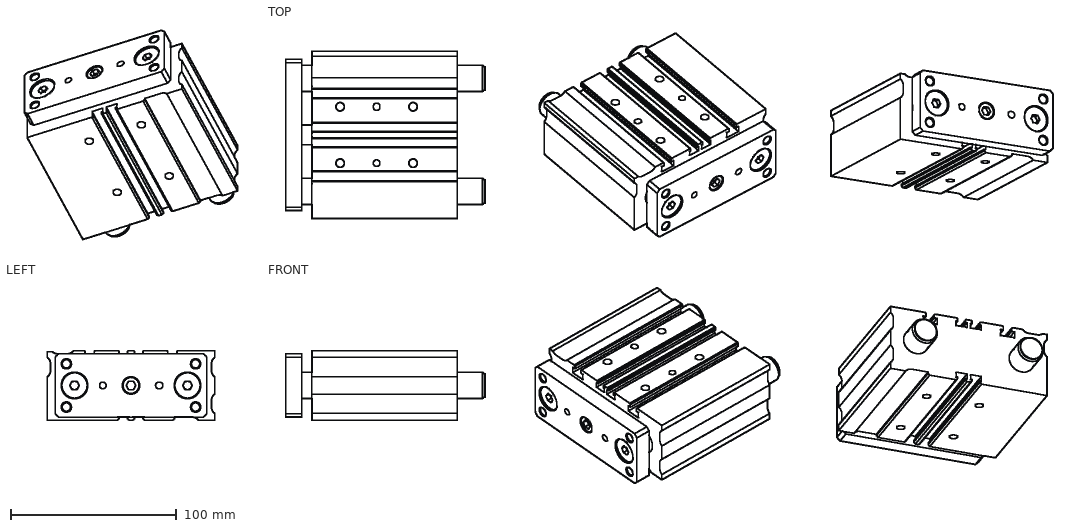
import cadquery as cq
import math


overall_length = 120.5
plate_thickness = 9.9
housing_start = 15.9
housing_end = 103.6
piston_rod_end = 72.3

housing_length = housing_end - housing_start
housing_width = 101.0
housing_height = 42.0
half_width = housing_width / 2
half_height = housing_height / 2

plate_width = 91.3
plate_height = 38.3
plate_corner_chamfer = 2.0
corner_hole_diameter = 5.1
corner_hole_chamfer = 0.54
corner_hole_spacing_y = 77.8
corner_hole_spacing_z = 26.0

guide_diameter = 16.0
guide_spacing = 68.1
guide_offset = guide_spacing / 2
guide_front_recess = 1.0
guide_tip_diameter = 14.1
guide_tip_length = 0.7
guide_taper_length = 1.2

piston_rod_diameter = 12
bolt_diameter = 10.5
bolt_front_recess = 0.5

front_chamfer = 0.42
hex_across_flats = 5.1
hex_depth = 3.0
drill_point_angle = 118

pin_diameter = 4.0
pin_slot_length = 4.5
housing_pin_depth = 6

hole_row_offset = 17.0
through_hole_diameter = 5.0
through_hole_positions = (32.9, 76.9)
housing_pin_x = sum(through_hole_positions) / 2

groove_radius = 4.8
groove_depth = 1.9
groove_arc_width = math.sqrt(groove_radius**2 - (groove_radius - groove_depth) ** 2)
side_groove_bottom = 5.2
side_groove_top = 16.9
top_groove_inner = 34.6
top_groove_outer = 48.0
top_edge_step = 0.6
bottom_recess_inner = 26.3
bottom_recess_outer = 40.6

outer_slot_centre = 25.0
outer_slot_mouth = 5.3
outer_slot_inside = 9.0
outer_slot_lip = 2.7
outer_slot_depth = 6.6
inner_slot_centre = 4.64
inner_slot_mouth = 5.0
inner_slot_inside = 7.0
inner_slot_lip = 2.0
inner_slot_depth = 5.2
top_chamfer = 0.6
bottom_chamfer = 1.1


def cylinder(diameter, start, end, y=0, z=0):
    """Cylinder along X between two X positions."""
    return cq.Workplane("YZ", origin=(start, y, z)).circle(diameter / 2).extrude(end - start)




def housing_sketch():
    return cq.Workplane("YZ", origin=(housing_start, 0, 0))


def to_top(cut):
    return cut.translate((0, 0, half_height))


def to_bottom(cut):
    return to_top(cut).mirror("XY")


def t_slot(centre, mouth_width, inside_width, lip, depth, chamfer):
    """T-slot with a chamfered mouth."""
    mouth = mouth_width / 2
    inside = inside_width / 2
    right_half = [
        (centre + mouth + chamfer, 0),
        (centre + mouth, -chamfer),
        (centre + mouth, -lip),
        (centre + inside, -lip),
        (centre + inside, -depth),
    ]
    left_half = [(2 * centre - y, z) for y, z in reversed(right_half)]
    return housing_sketch().polyline(right_half + left_half).close().extrude(housing_length)


def outer_t_slot():
    return t_slot(
        outer_slot_centre, outer_slot_mouth, outer_slot_inside,
        outer_slot_lip, outer_slot_depth, top_chamfer,
    )


def inner_t_slot(chamfer):
    return t_slot(
        inner_slot_centre, inner_slot_mouth, inner_slot_inside,
        inner_slot_lip, inner_slot_depth, chamfer,
    )


def arc_groove(start, end):
    """Flat-bottomed groove with an arc on each side."""
    return (
        housing_sketch()
        .moveTo(start, 0)
        .radiusArc((start + groove_arc_width, -groove_depth), -groove_radius)
        .lineTo(end - groove_arc_width, -groove_depth)
        .radiusArc((end, 0), -groove_radius)
        .close()
        .extrude(housing_length)
    )


def side_groove():
    """Upper groove of the -Y face."""
    groove = arc_groove(side_groove_bottom, side_groove_top)
    return groove.rotate((0, 0, 0), (1, 0, 0), 90).translate((0, -half_width, 0))


def top_edge_cut():
    """Lowers the strip between the top groove and the +Y edge."""
    strip_start = top_groove_outer - groove_arc_width
    return (
        housing_sketch()
        .moveTo(strip_start, 0)
        .lineTo(half_width, 0)
        .lineTo(half_width, -top_edge_step)
        .lineTo(strip_start, -top_edge_step)
        .close()
        .extrude(housing_length)
    )


def bottom_recess():
    """Shallow recess with a chamfered wall on one side and an arc on the other."""
    return (
        housing_sketch()
        .moveTo(-bottom_recess_inner + bottom_chamfer, 0)
        .lineTo(-bottom_recess_inner, -bottom_chamfer)
        .lineTo(-bottom_recess_inner, -groove_depth)
        .lineTo(-bottom_recess_outer + groove_arc_width, -groove_depth)
        .radiusArc((-bottom_recess_outer, 0), groove_radius)
        .close()
        .extrude(housing_length)
    )


def cut_slots_and_grooves(housing):
    for slot in (outer_t_slot(), inner_t_slot(top_chamfer)):
        housing = housing.cut(to_top(slot)).cut(to_top(slot.mirror("XZ")))
    bottom_slot = inner_t_slot(bottom_chamfer)
    housing = housing.cut(to_bottom(bottom_slot)).cut(to_bottom(bottom_slot.mirror("XZ")))

    groove = side_groove()
    housing = housing.cut(groove).cut(groove.mirror("XY")).cut(groove.mirror("XZ"))

    housing = housing.cut(to_top(arc_groove(top_groove_inner, top_groove_outer)))
    return housing.cut(to_top(top_edge_cut())).cut(to_bottom(bottom_recess()))


def cut_rod_bores(housing):
    housing = housing.cut(cylinder(piston_rod_diameter, housing_start, piston_rod_end))
    for y in (-guide_offset, guide_offset):
        housing = housing.cut(cylinder(guide_diameter, housing_start, housing_end, y))
    return housing


def cut_top_holes(housing):
    top = cq.Workplane("XY", origin=(0, 0, half_height))
    through_centres = [
        (x, y) for x in through_hole_positions for y in (-hole_row_offset, hole_row_offset)
    ]
    through_holes = (
        top.pushPoints(through_centres).circle(through_hole_diameter / 2).extrude(-housing_height)
    )
    round_pin_hole = (
        top.center(housing_pin_x, -hole_row_offset).circle(pin_diameter / 2).extrude(-housing_pin_depth)
    )
    long_pin_hole = (
        top.center(housing_pin_x, hole_row_offset)
        .slot2D(pin_slot_length, pin_diameter, 90)
        .extrude(-housing_pin_depth)
    )
    return housing.cut(through_holes).cut(round_pin_hole).cut(long_pin_hole)


def make_housing():
    housing = cq.Workplane("XY").box(housing_length, housing_width, housing_height)
    housing = housing.translate(((housing_start + housing_end) / 2, 0, 0))
    housing = cut_slots_and_grooves(housing)
    housing = cut_rod_bores(housing)
    return cut_top_holes(housing)


def corner_hole(y, z):
    """Through hole in the plate, chamfered at the front."""
    radius = corner_hole_diameter / 2
    chamfer = cq.Solid.makeCone(
        radius + corner_hole_chamfer, radius, corner_hole_chamfer,
        cq.Vector(0, y, z), cq.Vector(1, 0, 0),
    )
    return cylinder(corner_hole_diameter, 0, plate_thickness, y, z).union(cq.Workplane(chamfer))


def make_plate():
    plate = cq.Workplane("XY").box(plate_thickness, plate_width, plate_height)
    plate = plate.translate((plate_thickness / 2, 0, 0))
    plate = plate.edges("|X").chamfer(plate_corner_chamfer)

    plate = plate.cut(cylinder(bolt_diameter, 0, plate_thickness))
    for side in (-1, 1):
        plate = plate.cut(cylinder(guide_diameter, 0, plate_thickness, side * guide_offset))
        for level in (-1, 1):
            hole = corner_hole(side * corner_hole_spacing_y / 2, level * corner_hole_spacing_z / 2)
            plate = plate.cut(hole)

    round_pin_hole = cylinder(pin_diameter, 0, plate_thickness, hole_row_offset)
    long_pin_hole = (
        cq.Workplane("YZ", origin=(0, -hole_row_offset, 0))
        .slot2D(pin_slot_length, pin_diameter)
        .extrude(plate_thickness)
    )
    return plate.cut(round_pin_hole).cut(long_pin_hole)


def hex_socket(start):
    """Hexagonal socket that opens at X = start."""
    across_corners = hex_across_flats / math.cos(math.pi / 6)
    return cq.Workplane("YZ", origin=(start, 0, 0)).polygon(6, across_corners).extrude(hex_depth)


def drill_point(start):
    """Cone left by the drill at the bottom of a hex socket that opens at X = start."""
    radius = hex_across_flats / 2
    length = radius / math.tan(math.radians(drill_point_angle / 2))
    cone = cq.Solid.makeCone(
        radius, 0, length, cq.Vector(start + hex_depth, 0, 0), cq.Vector(1, 0, 0)
    )
    return cq.Workplane(cone)


def make_guide_rod(y):
    """Guide rod with a socket in its front end and a tapered rear end with a short reduced tip."""
    taper_end = overall_length - guide_tip_length
    taper_start = taper_end - guide_taper_length
    body = cylinder(guide_diameter, guide_front_recess, taper_start)
    body = body.faces("<X").chamfer(front_chamfer)
    taper = cq.Solid.makeCone(
        guide_diameter / 2, guide_tip_diameter / 2, guide_taper_length,
        cq.Vector(taper_start, 0, 0), cq.Vector(1, 0, 0),
    )
    tip = cylinder(guide_tip_diameter, taper_end, overall_length)
    rod = body.union(cq.Workplane(taper)).union(tip)
    rod = rod.cut(hex_socket(guide_front_recess)).cut(drill_point(guide_front_recess))
    return rod.translate((0, y, 0))


def make_piston_rod():
    return cylinder(piston_rod_diameter, plate_thickness, piston_rod_end)


def make_plate_bolt():
    bolt = cylinder(bolt_diameter, bolt_front_recess, plate_thickness)
    bolt = bolt.faces("<X").chamfer(front_chamfer)
    return bolt.cut(hex_socket(bolt_front_recess))


housing = make_housing()
plate = make_plate()
piston_rod = make_piston_rod()
plate_bolt = make_plate_bolt()
guide_rods = [make_guide_rod(y) for y in (-guide_offset, guide_offset)]

result = cq.Compound.makeCompound(
    [
        housing.val(),
        plate.val(),
        piston_rod.val(),
        plate_bolt.val(),
        *[rod.val() for rod in guide_rods],
    ]
)